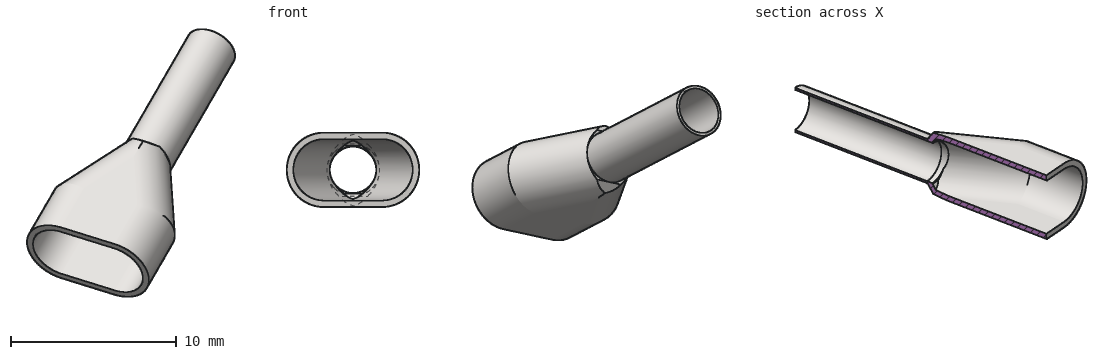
import cadquery as cq
import math

TOTAL_LENGTH = 19.0
SLEEVE_LENGTH = 9.0
SLEEVE_WIDTH = 8.0
SLEEVE_HEIGHT = 4.5
STRAIGHT_LENGTH = 4.0
WALL = 0.4
TUBE_DIAMETER = 3.15
BORE_DIAMETER = 2.8
BEVEL_LENGTH = 2.3
BEVEL_RISE = 3.1

OUTER_RADIUS = SLEEVE_HEIGHT / 2
TUBE_RADIUS = TUBE_DIAMETER / 2
TUBE_LENGTH = TOTAL_LENGTH - SLEEVE_LENGTH
AXIS_OFFSET = SLEEVE_WIDTH / 2 - OUTER_RADIUS

TAPER_ANGLE = math.atan2(SLEEVE_WIDTH / 2 - TUBE_RADIUS, SLEEVE_LENGTH - STRAIGHT_LENGTH)
BEND_Y = STRAIGHT_LENGTH - OUTER_RADIUS * math.tan(TAPER_ANGLE / 2)
BEVEL_ANGLE = math.atan2(BEVEL_RISE, BEVEL_LENGTH)

REACH = 2 * TOTAL_LENGTH


def straight_form(inset):
    """Straight oblong prism, shrunk by inset on its sides and narrow end."""
    profile = cq.Workplane("XZ").slot2D(SLEEVE_WIDTH - 2 * inset, SLEEVE_HEIGHT - 2 * inset)
    return profile.extrude(-(SLEEVE_LENGTH - inset))


def tapered_side(side, inset):
    """Slanted slab with one rounded edge, bounding the taper at the given side (+1 or -1)."""
    radius = OUTER_RADIUS - inset
    across = cq.Vector(side * math.cos(TAPER_ANGLE), math.sin(TAPER_ANGLE), 0)
    along = cq.Vector(-side * math.sin(TAPER_ANGLE), math.cos(TAPER_ANGLE), 0)
    plane = cq.Plane(origin=(side * AXIS_OFFSET, BEND_Y, 0), xDir=across, normal=along)
    profile = cq.Workplane(plane).center(-REACH / 2, 0).slot2D(REACH + 2 * radius, 2 * radius)
    return profile.extrude(REACH, both=True)


def bevelled_block(inset):
    """Block whose far end is bevelled above and below, with every face moved in by inset."""
    end_y = SLEEVE_LENGTH - inset
    half_height = OUTER_RADIUS - inset
    edge_z = TUBE_RADIUS - inset * math.tan(math.pi / 4 - BEVEL_ANGLE / 2)
    bevel_y = end_y - (half_height - edge_z) / math.tan(BEVEL_ANGLE)
    outline = [
        (0, -half_height),
        (bevel_y, -half_height),
        (end_y, -edge_z),
        (end_y, edge_z),
        (bevel_y, half_height),
        (0, half_height),
    ]
    return cq.Workplane("YZ").polyline(outline).close().extrude(SLEEVE_WIDTH, both=True)


def sleeve_form(inset):
    """Solid shape of the sleeve with its walls moved in by inset."""
    form = straight_form(inset)
    for side in (-1, 1):
        form = form.intersect(tapered_side(side, inset))
    return form.intersect(bevelled_block(inset))


def make_sleeve():
    bore = cq.Workplane("XZ").circle(BORE_DIAMETER / 2).extrude(-SLEEVE_LENGTH)
    return sleeve_form(0).cut(sleeve_form(WALL)).cut(bore)


def make_tube():
    end_plane = cq.Workplane("XZ", origin=(0, SLEEVE_LENGTH, 0))
    return end_plane.circle(TUBE_RADIUS).circle(BORE_DIAMETER / 2).extrude(-TUBE_LENGTH)


sleeve = make_sleeve()
tube = make_tube()
result = cq.Compound.makeCompound([sleeve.solids().val(), tube.val()])